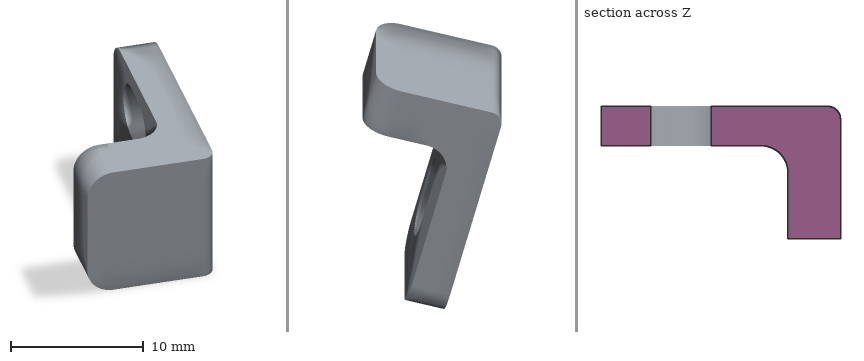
import cadquery as cq

length = 18.03
depth = 10.0
height = 10.5

plate_thickness = 3.0
leg_thickness = 4.0

inner_bend_radius = 2.0
outer_bend_radius = 1.0
end_corner_radius = 2.0

slot_width = 4.3
slot_travel = 2.0
slot_center_x = 6.0
slot_center_z = 7.0

plate_front_y = depth - plate_thickness
leg_inner_x = length - leg_thickness


def bracket_body():
    """L-shaped profile in the XY plane, extruded upward, with a rounded bend."""
    body = (
        cq.Workplane("XY")
        .moveTo(0, depth)
        .lineTo(length, depth)
        .lineTo(length, 0)
        .lineTo(leg_inner_x, 0)
        .lineTo(leg_inner_x, plate_front_y)
        .lineTo(0, plate_front_y)
        .close()
        .extrude(height)
    )
    inner_bend = cq.selectors.NearestToPointSelector((leg_inner_x, plate_front_y, height / 2))
    outer_bend = cq.selectors.NearestToPointSelector((length, depth, height / 2))
    body = body.edges("|Z").edges(inner_bend).fillet(inner_bend_radius)
    return body.edges("|Z").edges(outer_bend).fillet(outer_bend_radius)


def round_free_ends(body):
    """Round the top and bottom corners at the free ends of the plate and the leg."""
    body = body.faces("<X").edges("|Y").fillet(end_corner_radius)
    return body.faces("<Y").edges("|X").fillet(end_corner_radius)


def plate_slot():
    """Horizontal obround cutter passing through the long plate along Y."""
    return (
        cq.Workplane("XZ", origin=(slot_center_x, depth, slot_center_z))
        .slot2D(slot_travel + slot_width, slot_width)
        .extrude(plate_thickness)
    )


result = round_free_ends(bracket_body()).cut(plate_slot())